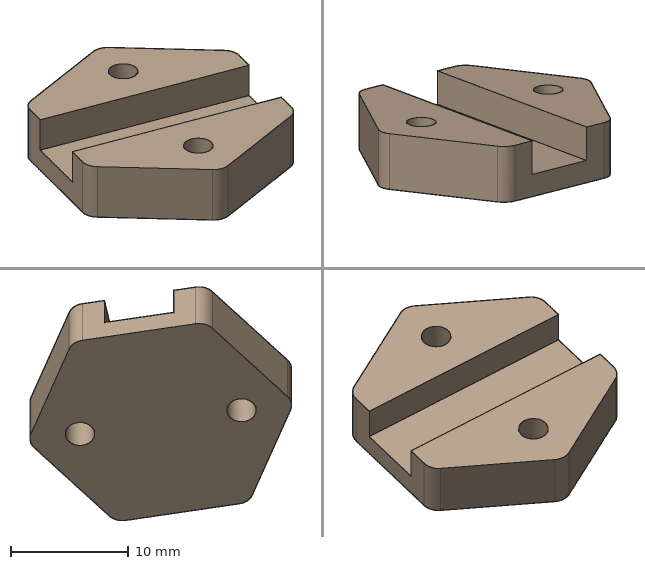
import cadquery as cq
import math

across_flats = 20.0
thickness = 5.0
corner_radius = 1.5

channel_width = 6.0
channel_depth = 3.0

hole_diameter = 2.5
hole_spacing = 14.0

across_corners = across_flats / math.cos(math.radians(30))


def make_plate():
    """Hexagonal prism on Z = 0 with rounded vertical corners."""
    return (
        cq.Workplane("XY")
        .polygon(6, across_corners)
        .extrude(thickness)
        .edges("|Z")
        .fillet(corner_radius)
    )


def cut_channel(body):
    """Cut the rectangular channel down from the top face."""
    channel = (
        cq.Workplane("XY")
        .workplane(offset=thickness - channel_depth)
        .rect(channel_width, across_flats)
        .extrude(channel_depth)
    )
    return body.cut(channel)


def cut_holes(body):
    """Cut the pair of vertical through holes on the X axis."""
    holes = (
        cq.Workplane("XY")
        .pushPoints([(-hole_spacing / 2, 0), (hole_spacing / 2, 0)])
        .circle(hole_diameter / 2)
        .extrude(thickness)
    )
    return body.cut(holes)


result = cut_holes(cut_channel(make_plate()))